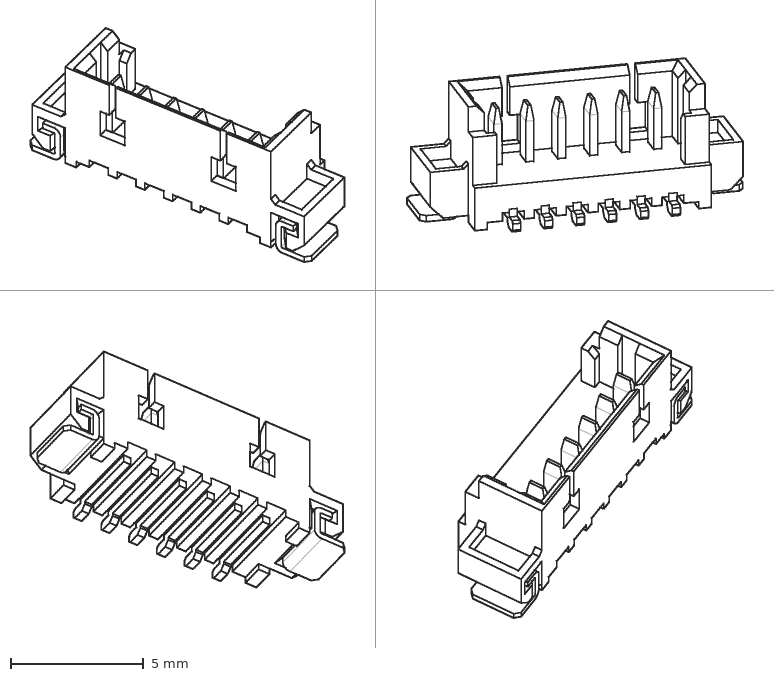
import cadquery as cq


overall_length = 12.65
overall_depth = 4.2
overall_height = 4.7
pin_count = 6
pin_span = 6.25
pin_pitch = pin_span / (pin_count - 1)

body_length = 9.26
body_depth = 3.71
underside_z = 0.32
floor_z = 1.76
shroud_depth = 2.8
body_left = -body_length / 2

front_wall = 0.4
side_wall = 0.62
mouth_chamfer = 0.3
groove_depth = 0.3
groove_front = 1.2
groove_width = 0.77

post_width = 0.95
post_back = 3.4
post_top = 3.7
post_chamfer = 0.3

keyhole_x = 2 * pin_pitch
keyhole_width = 1.11
keyhole_bottom = 2.09
keyhole_top = 3.25
keyhole_slit = 0.3

foot_size = 0.49
foot_bottom = 0.04
foot_depth = body_depth - shroud_depth
notch_width = 0.85
notch_top = 0.65

ear_reach = 1.49
ear_left = body_left - ear_reach
ear_top = 2.21
ear_chamfer = 0.49
ear_wall = 0.3
ear_pocket_floor = 1.7
gusset = 0.19

tab_depth = 2.21
tab_thickness = 0.25
tab_top = 1.53
tab_arm_left = -5.64
tab_corner = 0.2
tab_bend_inside = 0.06
lead_in = 0.22
tab_leg_right = body_left - lead_in
tab_leg_left = tab_leg_right - tab_thickness

pin_width = 0.32
blade_front = 0.71
blade_depth = 0.82
blade_top = 4.0
tip_taper_side = 0.1
tip_taper_front = 0.15
tip_taper_back = 0.08
tip_height = 0.6
bar_height = 0.45
tail_front = 3.4
tail_chamfer = 0.2
tail_end_chamfer = 0.1


def box(x0, x1, y0, y1, z0, z1):
    """Block between two corners."""
    return cq.Workplane("XY").box(x1 - x0, y1 - y0, z1 - z0, centered=False).translate((x0, y0, z0))


def rectangle(x0, x1, y0, y1):
    """Corner points of a rectangle in X and Y."""
    return [(x0, y0), (x1, y0), (x1, y1), (x0, y1)]


def prism_along_x(points_yz, x0, x1):
    """Outline in Y and Z, extruded from x0 to x1."""
    return cq.Workplane("YZ", origin=(x0, 0, 0)).polyline(points_yz).close().extrude(x1 - x0)


def prism_along_y(points_xz, y0, y1):
    """Outline in X and Z, extruded from y0 to y1."""
    return cq.Workplane("XZ", origin=(0, y0, 0)).polyline(points_xz).close().extrude(y0 - y1)


def mirrored(shape):
    """The same feature at the opposite end of the part."""
    return shape.mirror("YZ")


pin_places = [(i - (pin_count - 1) / 2) * pin_pitch for i in range(pin_count)]



def make_pin(x):
    """Flat stamped pin: upright blade, bar through the housing base and tail on the board."""
    blade_back = blade_front + blade_depth
    bar_top = underside_z + bar_height
    shoulder = blade_top - tip_height
    pin = prism_along_x(
        [
            (blade_front, underside_z),
            (tail_front, underside_z),
            (tail_front, tail_chamfer),
            (tail_front + tail_chamfer, 0),
            (overall_depth - tail_end_chamfer, 0),
            (overall_depth, tail_end_chamfer),
            (overall_depth, bar_height - tail_end_chamfer),
            (overall_depth - tail_end_chamfer, bar_height),
            (body_depth, bar_height),
            (body_depth, bar_top),
            (blade_back, bar_top),
            (blade_back, shoulder),
            (blade_front, shoulder),
        ],
        -pin_width / 2,
        pin_width / 2,
    )
    tip_half_width = pin_width / 2 - tip_taper_side
    tip = (
        cq.Workplane("XY", origin=(0, 0, shoulder))
        .polyline(rectangle(-pin_width / 2, pin_width / 2, blade_front, blade_back))
        .close()
        .workplane(offset=tip_height)
        .polyline(
            rectangle(
                -tip_half_width,
                tip_half_width,
                blade_front + tip_taper_front,
                blade_back - tip_taper_back,
            )
        )
        .close()
        .loft()
    )
    return pin.union(tip).translate((x, 0, 0))



def make_left_tab():
    """Strip bent into a Z: foot plate on the board, upright leg and arm held in the ear."""
    plate_left = -overall_length / 2
    arm_bottom = tab_top - tab_thickness
    tab = prism_along_y(
        [
            (plate_left, 0),
            (tab_leg_right, 0),
            (tab_leg_right, tab_top),
            (tab_arm_left, tab_top),
            (tab_arm_left, arm_bottom),
            (tab_leg_left, arm_bottom),
            (tab_leg_left, tab_thickness),
            (plate_left, tab_thickness),
        ],
        0,
        tab_depth,
    )
    tab = tab.edges("|Y and >X").fillet(tab_bend_inside + tab_thickness)
    for inside_z in (tab_thickness, arm_bottom):
        inside_edge = cq.NearestToPointSelector((tab_leg_left, tab_depth / 2, inside_z))
        tab = tab.edges(inside_edge).fillet(tab_bend_inside)
    return tab.edges("|Z and <X").chamfer(tab_corner)



def shroud():
    """Front wall and side walls around the mating cavity, with a chamfered inner rim."""
    inner_left = body_left + side_wall
    rim = overall_height - mouth_chamfer
    walls = box(body_left, -body_left, 0, shroud_depth, floor_z, overall_height)
    cavity = box(inner_left, -inner_left, front_wall, shroud_depth, floor_z, overall_height)
    mouth = (
        cq.Workplane("XY", origin=(0, 0, rim))
        .polyline(rectangle(inner_left, -inner_left, front_wall, shroud_depth))
        .close()
        .workplane(offset=mouth_chamfer)
        .polyline(
            rectangle(
                inner_left - mouth_chamfer,
                mouth_chamfer - inner_left,
                front_wall - mouth_chamfer,
                shroud_depth,
            )
        )
        .close()
        .loft()
    )
    groove = box(
        inner_left - groove_depth,
        inner_left,
        groove_front,
        groove_front + groove_width,
        floor_z,
        overall_height,
    )
    return walls.cut(cavity).cut(mouth).cut(groove).cut(mirrored(groove))


def left_post():
    """Post behind the side wall; its inner part guides the mating plug with a front chamfer."""
    post_right = body_left + post_width
    post = box(body_left, post_right, shroud_depth, post_back, floor_z, post_top)
    guide_chamfer = prism_along_x(
        [
            (shroud_depth, post_top - post_chamfer),
            (shroud_depth, post_top),
            (shroud_depth + post_chamfer, post_top),
        ],
        body_left + side_wall,
        post_right,
    )
    return post.cut(guide_chamfer)


def left_keyhole():
    """Window through the front wall with a slit up to the rim."""
    window = box(
        -keyhole_x - keyhole_width / 2,
        -keyhole_x + keyhole_width / 2,
        0,
        front_wall,
        keyhole_bottom,
        keyhole_top,
    )
    slit = box(
        -keyhole_x - keyhole_slit / 2,
        -keyhole_x + keyhole_slit / 2,
        0,
        front_wall,
        keyhole_top,
        overall_height,
    )
    return window.union(slit)


def left_feet():
    """Feet under the front and rear corners of the body."""
    front = box(body_left, body_left + foot_size, 0, foot_depth, foot_bottom, underside_z)
    return front.union(front.translate((0, shroud_depth, 0)))


def left_ear():
    """Block beside the body with an open pocket on top and gussets against the side wall."""
    ear = prism_along_y(
        [
            (body_left, underside_z),
            (ear_left + ear_chamfer, underside_z),
            (ear_left, underside_z + ear_chamfer),
            (ear_left, ear_top),
            (body_left - gusset, ear_top),
            (body_left, ear_top + gusset),
        ],
        0,
        shroud_depth,
    )
    pocket = box(
        ear_left + ear_wall,
        body_left,
        ear_wall,
        shroud_depth - ear_wall,
        ear_pocket_floor,
        ear_top + gusset,
    )
    return ear.cut(pocket)


def tab_slot_outline(margin):
    """Outline in X and Z of the tab's arm and leg, widened by a margin on every side."""
    left = tab_arm_left - margin
    bend = tab_leg_left - margin
    right = tab_leg_right + margin
    top = tab_top + margin
    bottom = tab_top - tab_thickness - margin
    return [(right, 0), (right, top), (left, top), (left, bottom), (bend, bottom), (bend, 0)]


def left_tab_slot():
    """L-shaped slot for a tab, flared at its front mouth and at its mouth in the underside."""
    slot = prism_along_y(tab_slot_outline(0), 0, tab_depth)
    front_flare = (
        cq.Workplane("XZ")
        .polyline(tab_slot_outline(lead_in))
        .close()
        .workplane(offset=-lead_in)
        .polyline(tab_slot_outline(0))
        .close()
        .loft(ruled=True)
    )
    lower_flare = (
        cq.Workplane("XY", origin=(0, 0, underside_z))
        .polyline(rectangle(tab_leg_left - lead_in, tab_leg_right + lead_in, 0, tab_depth + lead_in))
        .close()
        .workplane(offset=lead_in)
        .polyline(rectangle(tab_leg_left, tab_leg_right, 0, tab_depth))
        .close()
        .loft()
    )
    return slot.union(front_flare).union(lower_flare)


def make_housing(pins, tabs):
    """Molded body with every opening cut and its pins' passages fitted to them."""
    housing = box(body_left, -body_left, 0, body_depth, underside_z, floor_z).union(shroud())
    for feature in (left_post(), left_feet(), left_ear()):
        housing = housing.union(feature).union(mirrored(feature))
    for feature in (left_keyhole(), left_tab_slot()):
        housing = housing.cut(feature).cut(mirrored(feature))
    for tab in tabs:
        housing = housing.cut(tab)
    for x, pin in zip(pin_places, pins):
        notch = box(x - notch_width / 2, x + notch_width / 2, 0, body_depth, underside_z, notch_top)
        housing = housing.cut(notch).cut(pin)
    return housing



pins = [make_pin(x) for x in pin_places]
left_tab = make_left_tab()
right_tab = mirrored(left_tab)
housing = make_housing(pins, [left_tab, right_tab])

result = cq.Compound.makeCompound(
    [housing.val(), left_tab.val(), right_tab.val(), *[pin.val() for pin in pins]]
)